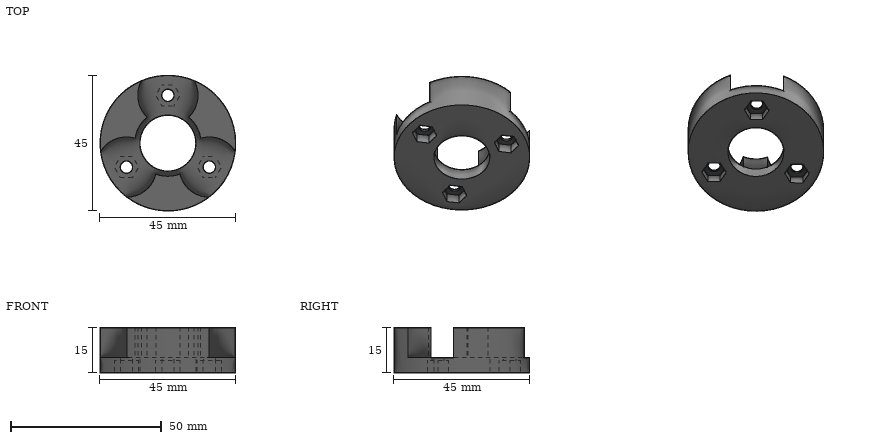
import cadquery as cq
import math

outer_diameter = 45.0
total_height = 15.0
base_thickness = 5.0
bore_diameter = 18.5

jaw_count = 3
recess_diameter = 22.0
scallop_radius = 10.0

hole_diameter = 4.0
hole_circle_radius = (outer_diameter + bore_diameter) / 4
first_hole_angle = 90.0

nut_sides = 6
nut_across_flats = 7.0
nut_across_corners = nut_across_flats / math.cos(math.pi / nut_sides)
nut_pocket_roof = 1.0
nut_pocket_depth = base_thickness - nut_pocket_roof


def make_body():
    """Full-height disc with the central through bore."""
    return (
        cq.Workplane("XY")
        .circle(outer_diameter / 2)
        .circle(bore_diameter / 2)
        .extrude(total_height)
    )


def hole_positions(height):
    """Workplane at `height` with one point per screw hole."""
    return (
        cq.Workplane("XY")
        .workplane(offset=height)
        .polarArray(hole_circle_radius, first_hole_angle, 360, jaw_count, rotate=False)
    )


def cylinders_on_hole_circle(radius, bottom):
    """Cylinders at the hole positions, from height `bottom` to the top face."""
    return (
        hole_positions(bottom)
        .circle(radius)
        .extrude(total_height - bottom)
    )


def make_recess():
    """Round clearance around the bore, down to the base plate."""
    return (
        cq.Workplane("XY")
        .workplane(offset=base_thickness)
        .circle(recess_diameter / 2)
        .extrude(total_height - base_thickness)
    )


def make_nut_pockets():
    """Hexagonal prisms rising from the bottom face, two corners of each along X."""
    return (
        hole_positions(0)
        .polygon(nut_sides, nut_across_corners)
        .extrude(nut_pocket_depth)
    )


scallops = cylinders_on_hole_circle(scallop_radius, base_thickness)
screw_holes = cylinders_on_hole_circle(hole_diameter / 2, 0)

result = (
    make_body()
    .cut(make_recess())
    .cut(scallops)
    .cut(screw_holes)
    .cut(make_nut_pockets())
)